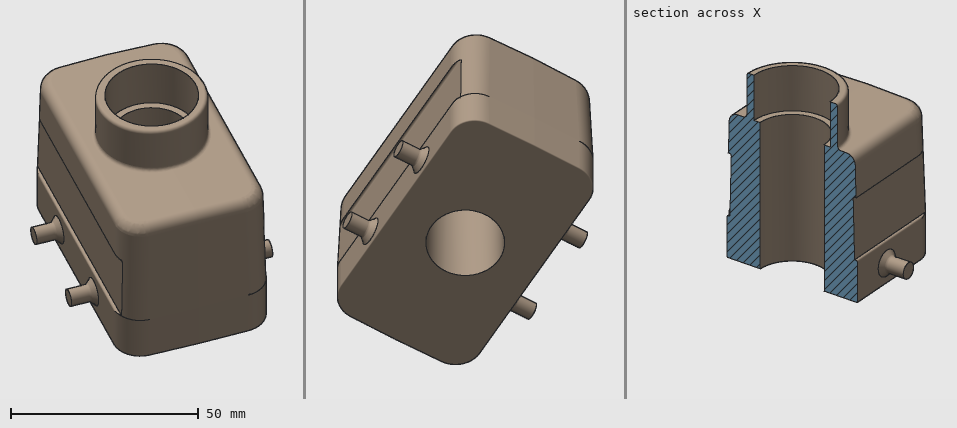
import cadquery as cq
import math

length = 72.6
width = 43.0
end_crest = 0.3
corner_radius = 7.55
skirt_height = 12.9
draft_angle = 1.4
bottom_edge_radius = 0.35

ridge_height = 45.0
roof_slope = 1.0
roof_edge_radius = 3.05

total_height = 58.5
neck_diameter = 30.0
neck_rim_radius = 0.95
neck_root_radius = 0.95
socket_diameter = 25.0
socket_depth = 13.8
bore_diameter = 21.0

recess_depth = 0.95
recess_top = 31.95
recess_top_radius = 0.6
ledge_radius = 0.6

pin_diameter = 4.8
pin_spacing = 26.6
pin_height = 6.2
pin_tip_span = 57.2
pin_collar_diameter = 7.85
pin_collar_height = 1.5
pin_root_radius = 0.7

half_length = length / 2
half_width = width / 2
wall_slope = math.tan(math.radians(draft_angle))
search_margin = 0.7


def wall_half_width(z):
    """Distance from the XZ plane to a drafted side wall at height z."""
    return half_width - (z - skirt_height) * wall_slope


def make_block(bottom, height, taper):
    """Rounded block whose end faces have a slight crest at mid-width."""
    corner_x = half_length - end_crest
    outline = [
        (half_length, 0),
        (corner_x, half_width),
        (-corner_x, half_width),
        (-half_length, 0),
        (-corner_x, -half_width),
        (corner_x, -half_width),
    ]
    block = cq.Workplane("XY").workplane(offset=bottom).polyline(outline).close()
    block = block.extrude(height, taper=taper)
    return block.faces("<Y or >Y").edges("not |X").fillet(corner_radius)


def make_skirt():
    skirt = make_block(0, skirt_height, 0)
    return skirt.faces("<Z").edges().fillet(bottom_edge_radius)


def make_half_neck():
    """The +Y half of the neck, with a rounded rim."""
    neck = cq.Workplane("XY").workplane(offset=skirt_height).circle(neck_diameter / 2)
    neck = neck.extrude(total_height - skirt_height).faces(">Z").edges().fillet(neck_rim_radius)
    half_space = cq.Workplane("XY").box(length, width, total_height, centered=(True, False, False))
    return neck.intersect(half_space)


def make_upper_body():
    """Drafted walls, two-plane roof and neck, built as a +Y half and mirrored."""
    block = make_block(skirt_height, ridge_height - skirt_height, draft_angle)
    eave_height = ridge_height - half_width * math.tan(math.radians(roof_slope))
    half_profile = [
        (0, skirt_height),
        (half_width, skirt_height),
        (half_width, eave_height),
        (0, ridge_height),
    ]
    under_roof = cq.Workplane("YZ").polyline(half_profile).close().extrude(half_length, both=True)
    half = block.intersect(under_roof)
    half = half.faces(">Z").edges("not <Y").fillet(roof_edge_radius)

    half = half.union(make_half_neck())
    flare_edge = cq.selectors.BoxSelector(
        (-neck_diameter, search_margin, ridge_height - search_margin),
        (neck_diameter, neck_diameter, ridge_height + search_margin),
    )
    half = half.edges(flare_edge).fillet(neck_root_radius)
    return half.union(half.mirror("XZ"))


def make_side_recess():
    """Cutter for the recess on the +Y side, with its floor parallel to the wall."""
    floor_bottom = wall_half_width(skirt_height) - recess_depth
    floor_top = wall_half_width(recess_top - recess_top_radius) - recess_depth
    ledge_crown = half_width - ledge_radius
    round_reach = ledge_radius * math.sqrt(0.5)
    corner_reach = recess_top_radius * (1 - math.sqrt(0.5))
    return (
        cq.Workplane("YZ")
        .moveTo(floor_bottom, skirt_height)
        .lineTo(floor_top, recess_top - recess_top_radius)
        .threePointArc(
            (floor_top + corner_reach, recess_top - corner_reach),
            (floor_top + recess_top_radius, recess_top),
        )
        .lineTo(half_width, recess_top)
        .lineTo(half_width, skirt_height - ledge_radius)
        .threePointArc(
            (ledge_crown + round_reach, skirt_height - ledge_radius + round_reach),
            (ledge_crown, skirt_height),
        )
        .close()
        .extrude(half_length, both=True)
    )


def make_pin(x):
    """Locking pin on the +Y side, with a 45-degree collar against the wall."""
    pin_radius = pin_diameter / 2
    collar_radius = pin_collar_diameter / 2
    collar_end = half_width + pin_collar_height
    buried_end = half_width - recess_depth
    profile = [
        (0, buried_end),
        (collar_radius, buried_end),
        (collar_radius, half_width),
        (pin_radius, collar_end),
        (pin_radius, pin_tip_span / 2),
        (0, pin_tip_span / 2),
    ]
    pin = cq.Workplane("XY").polyline(profile).close().revolve(axisStart=(0, 0, 0), axisEnd=(0, 1, 0))
    root = cq.selectors.BoxSelector(
        (-pin_diameter, collar_end - search_margin, -pin_diameter),
        (pin_diameter, collar_end + search_margin, pin_diameter),
    )
    return pin.edges(root).fillet(pin_root_radius).translate((x, 0, pin_height))


body = make_skirt().union(make_upper_body())

recess = make_side_recess()
body = body.cut(recess).cut(recess.mirror("XZ"))

for x in (-pin_spacing / 2, pin_spacing / 2):
    pin = make_pin(x)
    body = body.union(pin).union(pin.mirror("XZ"))

top = cq.Workplane("XY").workplane(offset=total_height)
socket = top.circle(socket_diameter / 2).extrude(-socket_depth)
bore = top.circle(bore_diameter / 2).extrude(-total_height)

result = body.cut(socket).cut(bore).solids()